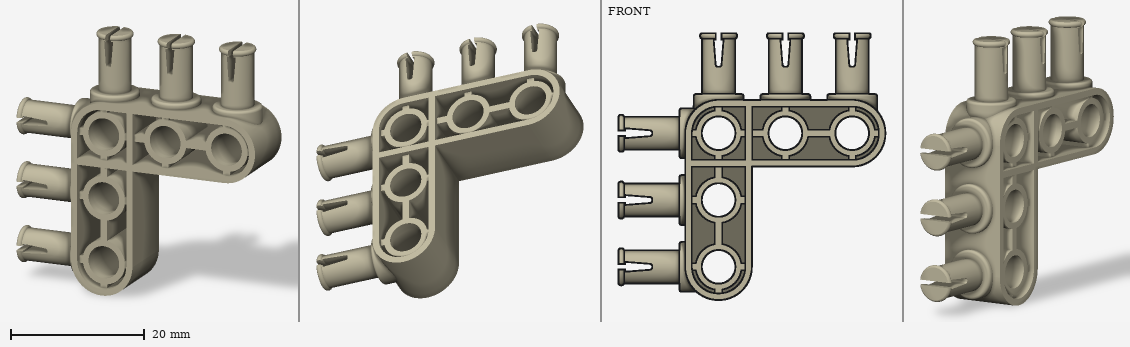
import cadquery as cq

pitch = 10.0
holes_per_arm = 3
beam_width = 10.0
wall = 1.0
floor_thickness = 1.0
half_width = beam_width / 2
arm_reach = pitch * (holes_per_arm - 1)
front_y = -beam_width / 2
pocket_depth = beam_width - floor_thickness
pocket_half_width = half_width - wall

hole_diameter = 5.0
sleeve_diameter = 6.9
rib_thickness = 1.1
sleeve_recess = 0.8
sleeve_length = pocket_depth - sleeve_recess
rib_overlap = wall / 2

pin_diameter = hole_diameter
pin_length = 10.0
collar_diameter = 7.5
collar_height = 0.9
collar_fillet = 0.4
lip_diameter = 5.6
lip_height = 0.85

slot_mouth_width = 0.8
slot_mouth_depth = 1.0
slot_wide_width = 1.45
slot_end_width = 0.8
slot_depth = 5.05
slot_end_fillet = 0.3

hole_steps = [pitch * i for i in range(holes_per_arm)]
hole_centers = [(x, 0) for x in hole_steps] + [(0, -z) for z in hole_steps[1:]]


def front_plane(recess=0.0):
    """XZ plane at the given depth behind the front face; extrude(-d) goes toward +Y."""
    return cq.Workplane("XZ", origin=(0, front_y + recess, 0))


def mirror_to_lower_arm(shape):
    """Carry a shape from the right arm to the lower arm by a mirror in the plane x = -z."""
    return shape.rotate((0, 0, 0), (0, 1, 0), 90).mirror("YZ")


def arm_outline(plane, start, radius):
    """Right-arm outline with a square start and a round far end."""
    return (
        plane.moveTo(start, radius)
        .lineTo(arm_reach, radius)
        .threePointArc((arm_reach + radius, 0), (arm_reach, -radius))
        .lineTo(start, -radius)
        .close()
    )


def corner_block(radius, depth):
    """Square block around the corner hole, rounded at its outer corner."""
    side = 2 * radius
    return front_plane().rect(side, side).extrude(-depth).edges("|Y and <X and >Z").fillet(radius)


def make_beam():
    arm = arm_outline(front_plane(), 0, half_width).extrude(-beam_width)
    return corner_block(half_width, beam_width).union(arm).union(mirror_to_lower_arm(arm))


def make_pockets():
    arm_pocket = arm_outline(front_plane(), half_width, pocket_half_width).extrude(-pocket_depth)
    corner_pocket = corner_block(pocket_half_width, pocket_depth)
    return corner_pocket.union(arm_pocket).union(mirror_to_lower_arm(arm_pocket))


def make_sleeves_and_ribs():
    plane = front_plane(sleeve_recess)
    sleeves = plane.pushPoints(hole_centers).circle(sleeve_diameter / 2).extrude(-sleeve_length)
    cross_rib_length = 2 * (pocket_half_width + rib_overlap)
    arm_rib_length = arm_reach + cross_rib_length
    rib_center = arm_reach / 2
    ribs = plane.center(rib_center, 0).rect(arm_rib_length, rib_thickness).extrude(-sleeve_length)
    for x in hole_steps:
        ribs = ribs.union(plane.center(x, 0).rect(rib_thickness, cross_rib_length).extrude(-sleeve_length))
    return sleeves.union(ribs).union(mirror_to_lower_arm(ribs))


def make_collar():
    """Collar on the upper face, sunk to the arm axis so it meets the round ends."""
    top_z = half_width + collar_height
    collar = cq.Workplane("XY").circle(collar_diameter / 2).extrude(top_z)
    return collar.faces(">Z").edges().fillet(collar_fillet)


def make_pin():
    """Upright pin with a bulged lip and a tapered slot running along Y."""
    base_z = half_width
    tip_z = half_width + pin_length
    lip_z = tip_z - lip_height
    radius = pin_diameter / 2
    body = (
        cq.Workplane("XZ")
        .moveTo(0, base_z)
        .lineTo(radius, base_z)
        .lineTo(radius, lip_z)
        .threePointArc((lip_diameter / 2, tip_z - lip_height / 2), (radius, tip_z))
        .lineTo(0, tip_z)
        .close()
        .revolve(360, (0, 0), (0, 1))
    )
    mouth_z = tip_z - slot_mouth_depth
    end_z = tip_z - slot_depth
    slot = (
        cq.Workplane("XZ")
        .moveTo(-slot_mouth_width / 2, tip_z)
        .lineTo(-slot_mouth_width / 2, mouth_z)
        .lineTo(-slot_wide_width / 2, mouth_z)
        .lineTo(-slot_end_width / 2, end_z)
        .lineTo(slot_end_width / 2, end_z)
        .lineTo(slot_wide_width / 2, mouth_z)
        .lineTo(slot_mouth_width / 2, mouth_z)
        .lineTo(slot_mouth_width / 2, tip_z)
        .close()
        .extrude(half_width, both=True)
        .faces("<Z")
        .edges("|Y")
        .fillet(slot_end_fillet)
    )
    return body.cut(slot)


result = make_beam()
collar = make_collar()
pin = make_pin()
for x in hole_steps:
    for piece in (collar, pin):
        upper = piece.translate((x, 0, 0))
        result = result.union(upper).union(mirror_to_lower_arm(upper))

result = result.cut(make_pockets()).union(make_sleeves_and_ribs())
holes = front_plane().pushPoints(hole_centers).circle(hole_diameter / 2).extrude(-beam_width)
result = result.cut(holes)